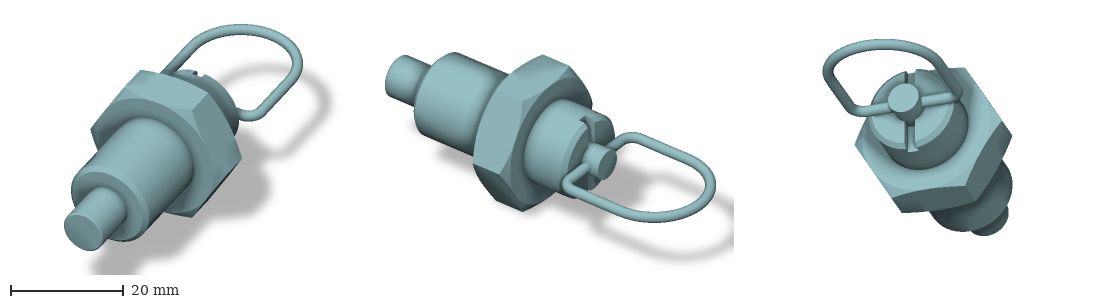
import cadquery as cq
import math

TOTAL_LENGTH = 68.0

SLEEVE_DIAMETER = 16.0
SLEEVE_LENGTH = 34.0
SLEEVE_CHAMFER = 0.8
SLOT_WIDTH = 2.0
SLOT_DEPTH = 2.0

NUT_ACROSS_FLATS = 24.0
NUT_THICKNESS = 8.0
NUT_REAR_SETBACK = 9.0
NUT_CHAMFER_ANGLE = 30.0
nut_corner_radius = NUT_ACROSS_FLATS / 2 / math.cos(math.pi / 6)
nut_rear = SLEEVE_LENGTH - NUT_REAR_SETBACK
nut_front = nut_rear - NUT_THICKNESS

PIN_DIAMETER = 8.0
PIN_PROJECTION = 9.0
PIN_CHAMFER = 0.3
STEM_DIAMETER = 5.7
STEM_PROJECTION = 3.6
pin_shoulder = nut_rear
stem_end = SLEEVE_LENGTH + STEM_PROJECTION

WIRE_DIAMETER = 2.0
RING_WIDTH = 22.0
RING_BEND_RADIUS = 2.5
ring_half_width = (RING_WIDTH - WIRE_DIAMETER) / 2
ring_bar_y = SLEEVE_LENGTH + WIRE_DIAMETER / 2
ring_bend_y = ring_bar_y + RING_BEND_RADIUS
ring_arc_y = TOTAL_LENGTH - PIN_PROJECTION - RING_WIDTH / 2


def rod(diameter, start, end):
    """Cylinder on the Y axis from Y = start to Y = end."""
    return cq.Workplane("XZ", origin=(0, start, 0)).circle(diameter / 2).extrude(start - end)


def make_sleeve():
    """Chamfered sleeve with a stepped bore and a driver slot across its rear face."""
    sleeve = rod(SLEEVE_DIAMETER, 0, SLEEVE_LENGTH).faces("<Y or >Y").chamfer(SLEEVE_CHAMFER)
    front_bore = rod(PIN_DIAMETER, 0, pin_shoulder)
    rear_bore = rod(STEM_DIAMETER, pin_shoulder, SLEEVE_LENGTH)
    slot = cq.Workplane("XY").box(SLOT_WIDTH, 2 * SLOT_DEPTH, SLEEVE_DIAMETER)
    return sleeve.cut(front_bore).cut(rear_bore).cut(slot.translate((0, SLEEVE_LENGTH, 0)))


def make_nut():
    """Hexagon nut with corners on the X axis and conical chamfers on both faces."""
    hexagon = (
        cq.Workplane("XZ", origin=(0, nut_front, 0))
        .polygon(6, 2 * nut_corner_radius)
        .extrude(-NUT_THICKNESS)
    )
    flat_radius = NUT_ACROSS_FLATS / 2
    chamfer_drop = (nut_corner_radius - flat_radius) * math.tan(math.radians(NUT_CHAMFER_ANGLE))
    chamfer_envelope = (
        cq.Workplane("XY")
        .moveTo(0, nut_front)
        .lineTo(flat_radius, nut_front)
        .lineTo(nut_corner_radius, nut_front + chamfer_drop)
        .lineTo(nut_corner_radius, nut_rear - chamfer_drop)
        .lineTo(flat_radius, nut_rear)
        .lineTo(0, nut_rear)
        .close()
        .revolve(360, (0, 0, 0), (0, 1, 0))
    )
    bore = rod(SLEEVE_DIAMETER, nut_front, nut_rear)
    return hexagon.intersect(chamfer_envelope).cut(bore)


def make_pin():
    """Stepped plunger with a cross hole that carries the ring."""
    front_rod = rod(PIN_DIAMETER, -PIN_PROJECTION, pin_shoulder).faces("<Y").chamfer(PIN_CHAMFER)
    stem = rod(STEM_DIAMETER, pin_shoulder, stem_end)
    cross_hole = (
        cq.Workplane("YZ", origin=(0, ring_bar_y, 0))
        .circle(WIRE_DIAMETER / 2)
        .extrude(STEM_DIAMETER, both=True)
    )
    return front_rod.union(stem).cut(cross_hole)


def make_ring():
    """Closed D-shaped wire ring: straight bar, two bends, two legs and a half circle."""
    bar_half_length = ring_half_width - RING_BEND_RADIUS
    path = (
        cq.Workplane("XY")
        .moveTo(0, ring_bar_y)
        .lineTo(bar_half_length, ring_bar_y)
        .tangentArcPoint((ring_half_width, ring_bend_y), relative=False)
        .lineTo(ring_half_width, ring_arc_y)
        .tangentArcPoint((-ring_half_width, ring_arc_y), relative=False)
        .lineTo(-ring_half_width, ring_bend_y)
        .tangentArcPoint((-bar_half_length, ring_bar_y), relative=False)
        .close()
    )
    return cq.Workplane("YZ", origin=(0, ring_bar_y, 0)).circle(WIRE_DIAMETER / 2).sweep(path)


sleeve = make_sleeve()
nut = make_nut()
pin = make_pin()
ring = make_ring()

bodies = [sleeve, nut, pin, ring]
result = cq.Compound.makeCompound([body.solids().val() for body in bodies])